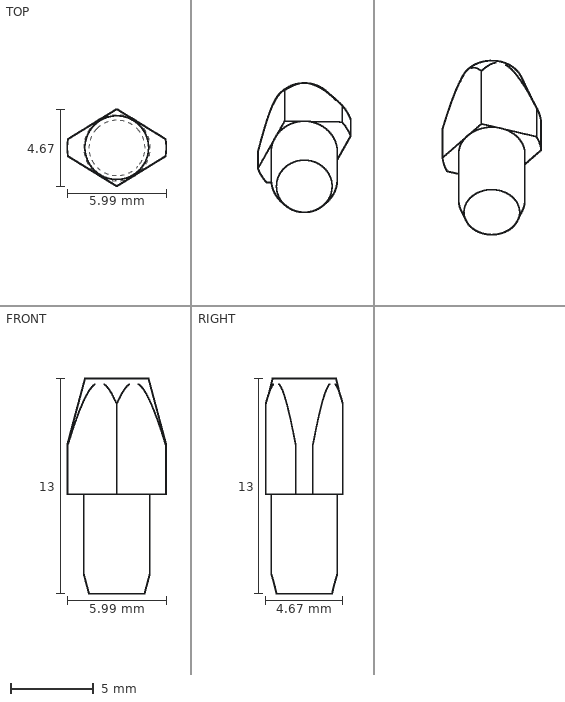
import cadquery as cq
import math

total_height = 13.0
head_base_z = 6.0
tip_height = 1.2
head_taper_height = 4.0

head_width = 5.99
head_radius = head_width / 2
shank_radius = 2.0
taper_angle = math.radians(15)
tip_radius = shank_radius - tip_height * math.tan(taper_angle)
head_top_radius = head_radius - head_taper_height * math.tan(taper_angle)

diamond_depth = 4.67
diamond_half_depth = diamond_depth / 2
land_half_width = 0.52
land_x = math.sqrt(head_radius**2 - land_half_width**2)


def make_shank():
    """Round shank with a tapered lead-in at its lower end."""
    profile = [
        (0, 0),
        (tip_radius, 0),
        (shank_radius, tip_height),
        (shank_radius, head_base_z),
        (0, head_base_z),
    ]
    return cq.Workplane("XZ").polyline(profile).close().revolve(360, (0, 0), (0, 1))


def make_head_envelope():
    """Cylinder with a conical upper end, which bounds the head."""
    profile = [
        (0, head_base_z),
        (head_radius, head_base_z),
        (head_radius, total_height - head_taper_height),
        (head_top_radius, total_height),
        (0, total_height),
    ]
    return cq.Workplane("XZ").polyline(profile).close().revolve(360, (0, 0), (0, 1))


def make_diamond():
    """Diamond prism; its sharp ends in X lie outside the head envelope."""
    slope = (diamond_half_depth - land_half_width) / land_x
    diamond_half_length = diamond_half_depth / slope
    corners = [
        (diamond_half_length, 0),
        (0, diamond_half_depth),
        (-diamond_half_length, 0),
        (0, -diamond_half_depth),
    ]
    return (
        cq.Workplane("XY")
        .workplane(offset=head_base_z)
        .polyline(corners)
        .close()
        .extrude(total_height - head_base_z)
    )


head = make_head_envelope().intersect(make_diamond())
result = make_shank().union(head)